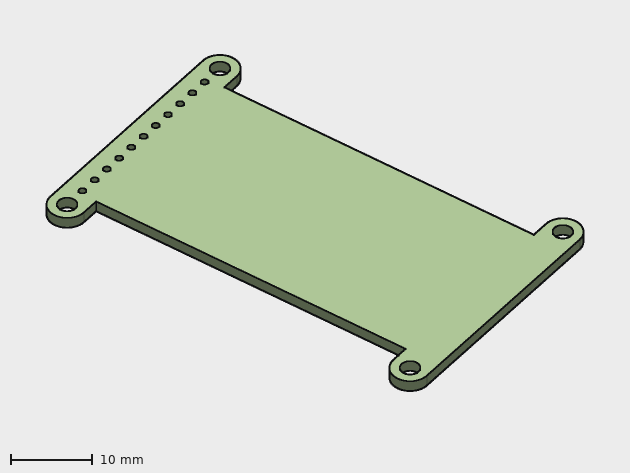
import cadquery as cq

length = 57.15
overall_width = 36.8
thickness = 1.6

strip_width = 5.1
ear_projection = strip_width
body_width = overall_width - 2 * ear_projection
strip_x = (length - strip_width) / 2
ear_y = (overall_width - strip_width) / 2

mount_hole_diameter = 2.5
pin_hole_diameter = 1.0
pin_count = 11
pin_row_span = 25.4
pin_pitch = pin_row_span / (pin_count - 1)


def end_strip(x):
    """Bar along Y with fully rounded ends, centred at the given X."""
    return (
        cq.Workplane("XY")
        .center(x, 0)
        .slot2D(overall_width, strip_width, 90)
        .extrude(thickness)
    )


def drill(plate, points, diameter):
    """Cut through holes of one diameter at the given XY points."""
    cutters = cq.Workplane("XY").pushPoints(points).circle(diameter / 2).extrude(thickness)
    return plate.cut(cutters)


body = cq.Workplane("XY").rect(length, body_width).extrude(thickness)
plate = body.union(end_strip(-strip_x)).union(end_strip(strip_x))

mount_points = [(x, y) for x in (-strip_x, strip_x) for y in (-ear_y, ear_y)]
plate = drill(plate, mount_points, mount_hole_diameter)

pin_points = [(-strip_x, i * pin_pitch - pin_row_span / 2) for i in range(pin_count)]
result = drill(plate, pin_points, pin_hole_diameter)